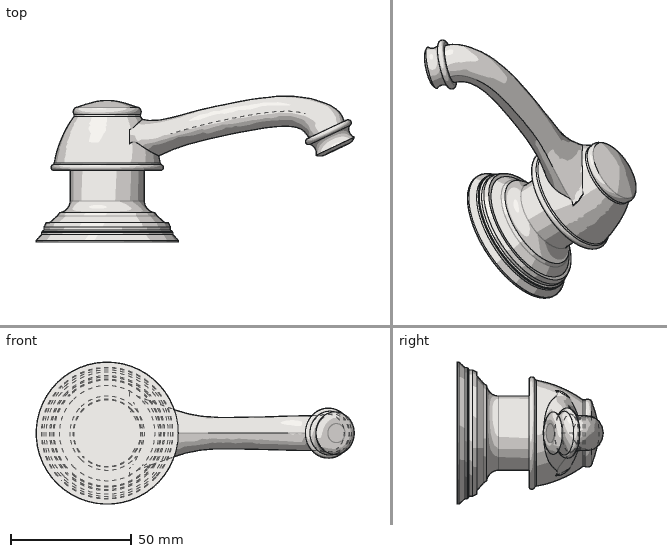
import cadquery as cq
import math


BASE_D = 59.2
BASE_R = BASE_D / 2
BASE_EDGE_H = 0.8
BAND_R = 27.4
BAND_BOTTOM = 3.2
BAND_LEDGE_R = 27.1
BAND_LEDGE_Y = 4.1
BAND_TOP = 4.5
STEP_R = 26.4
STEP_BOTTOM = 5.0
STEP_MIDDLE = 6.4
STEP_TOP_R = 25.4
STEP_TOP = 8.2
CONE_R = 24.0
CONE_TOP_R = 20.8
CONE_TOP = 11.0
LEDGE_R = 19.9
LEDGE_TOP = 12.3

NECK_R = 15.5
NECK_BOTTOM = 17.2
COVE_MID_R = 16.7
COVE_MID_Y = 14.0

BELL_BOTTOM = 29.9
RIM_R = 23.5
RIM_BEAD_H = 2.4
RIM_INSET = 0.9
BELL_R = 22.1
BELL_START = 33.0
BELL_MID_R = 19.3
BELL_MID_Y = 42.6
BELL_TOP_R = 13.9
BELL_TOP = 52.3

CAP_BOTTOM = 53.2
CAP_BEAD_R = 14.2
CAP_BEAD_Y = 54.5
CAP_SHOULDER_R = 13.2
CAP_SHOULDER_Y = 56.0
DOME_MID_R = 8.9
DOME_MID_Y = 57.5
DOME_TOP = 59.0
DOME_EDGE_DIRECTION = (-1, 0.3)

SPOUT_STATIONS = [
    (9.3, 41.3, 0, 9.8, 17.7),
    (17.2, 42.6, 8, 8.3, 13.6),
    (29.1, 46.0, 17, 6.4, 9.4),
    (39.7, 48.9, 14, 6.4, 7.0),
    (53.0, 51.8, 11, 6.4, 6.6),
    (66.2, 54.0, 7, 6.4, 6.9),
    (75.5, 54.5, 0, 6.4, 7.2),
    (85.1, 52.6, -29, 7.2, 7.3),
]

OUTLET_X = 91.5
OUTLET_Y = 47.0
OUTLET_HEADING = -64.7
OUTLET_R = 8.0
COLLAR_R = 10.5
COLLAR_BEAD_H = 2.6
WAIST_R = 8.0
WAIST_DEPTH = 5.2
LIP_R = 8.9
LIP_DEPTH = 7.8
LIP_EDGE_R = 8.0
LIP_EDGE_DEPTH = 8.6
FACE_R = 4.0
FACE_DEPTH = 9.1


def make_body():
    profile = (
        cq.Workplane("XY")
        .moveTo(0, 0)
        .lineTo(BASE_R, 0)
        .lineTo(BASE_R, BASE_EDGE_H)
        .lineTo(BAND_R, BAND_BOTTOM)
        .lineTo(BAND_R, BAND_LEDGE_Y)
        .lineTo(BAND_LEDGE_R, BAND_LEDGE_Y)
        .lineTo(BAND_LEDGE_R, BAND_TOP)
        .lineTo(STEP_R, STEP_BOTTOM)
        .lineTo(STEP_R, STEP_MIDDLE)
        .lineTo(STEP_TOP_R, STEP_TOP)
        .lineTo(CONE_R, STEP_TOP)
        .lineTo(CONE_TOP_R, CONE_TOP)
        .lineTo(LEDGE_R, LEDGE_TOP)
        .threePointArc((COVE_MID_R, COVE_MID_Y), (NECK_R, NECK_BOTTOM))
        .lineTo(NECK_R, BELL_BOTTOM)
        .lineTo(RIM_R - RIM_INSET, BELL_BOTTOM)
        .threePointArc(
            (RIM_R, BELL_BOTTOM + RIM_BEAD_H / 2),
            (RIM_R - RIM_INSET, BELL_BOTTOM + RIM_BEAD_H),
        )
        .lineTo(BELL_R, BELL_START)
        .threePointArc((BELL_MID_R, BELL_MID_Y), (BELL_TOP_R, BELL_TOP))
        .lineTo(BELL_TOP_R, CAP_BOTTOM)
        .threePointArc((CAP_BEAD_R, CAP_BEAD_Y), (CAP_SHOULDER_R, CAP_SHOULDER_Y))
        .spline([(DOME_MID_R, DOME_MID_Y), (0, DOME_TOP)], tangents=[DOME_EDGE_DIRECTION, (-1, 0)],
                includeCurrent=True)
        .close()
    )
    return profile.revolve(360, (0, 0, 0), (0, 1, 0))


def station_plane(x, y, heading):
    """Plane facing along the spout, with its own Y axis along Z."""
    angle = math.radians(heading)
    across = (math.sin(angle), -math.cos(angle), 0)
    forward = (math.cos(angle), math.sin(angle), 0)
    return cq.Plane(origin=(x, y, 0), xDir=across, normal=forward)


def make_spout():
    outlet_station = (OUTLET_X, OUTLET_Y, OUTLET_HEADING, OUTLET_R, OUTLET_R)
    sections = []
    for x, y, heading, plane_radius, z_radius in SPOUT_STATIONS + [outlet_station]:
        section = cq.Workplane(station_plane(x, y, heading)).ellipse(plane_radius, z_radius)
        sections.append(section.val())
    return cq.Workplane(cq.Solid.makeLoft(sections))


def make_nozzle():
    outlet = station_plane(OUTLET_X, OUTLET_Y, OUTLET_HEADING)
    half_plane = cq.Plane(origin=outlet.origin, xDir=outlet.xDir, normal=(0, 0, 1))
    profile = (
        cq.Workplane(half_plane)
        .lineTo(OUTLET_R, 0)
        .lineTo(COLLAR_R - COLLAR_BEAD_H / 2, 0)
        .threePointArc((COLLAR_R, COLLAR_BEAD_H / 2), (COLLAR_R - COLLAR_BEAD_H / 2, COLLAR_BEAD_H))
        .threePointArc((WAIST_R, WAIST_DEPTH), (LIP_R, LIP_DEPTH))
        .spline([(LIP_EDGE_R, LIP_EDGE_DEPTH), (FACE_R, FACE_DEPTH)], includeCurrent=True)
        .lineTo(0, FACE_DEPTH)
        .close()
    )
    return profile.revolve(360, (0, 0, 0), (0, 1, 0))


result = make_body().union(make_spout()).union(make_nozzle())